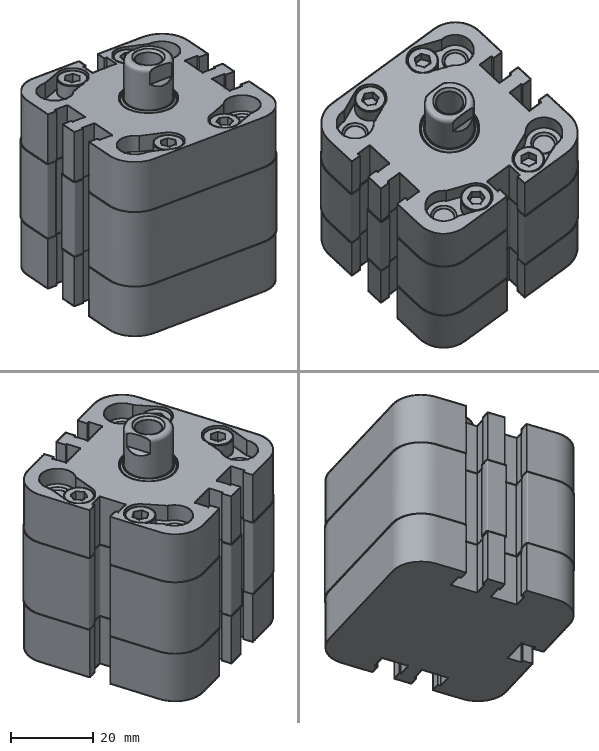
import cadquery as cq
import math

CAP_HEIGHT = 14.05
BARREL_HEIGHT = 20.95
TOTAL_HEIGHT = 60.5
BARREL_BOTTOM = CAP_HEIGHT
BARREL_TOP = BARREL_BOTTOM + BARREL_HEIGHT
BODY_TOP = BARREL_TOP + CAP_HEIGHT

BARREL_SIDE = 49.0
CAP_SIDE = 48.65
CORNER_CENTER = 16.6

SLOT_LIP_INNER = 21.65
CAP_SLOT_FLOOR = 17.85
BARREL_SLOT_FLOOR = 18.0
SLOT_EDGE_RADIUS = 0.25
CAP_NECK = (2.35, 8.3)
CAP_POCKET = (1.9, 9.1)
BARREL_NECK = (2.65, 8.35)
BARREL_POCKET = (1.9, 8.8)
CAP_SIDE_NECK = 5.7
CAP_SIDE_POCKET = 7.2
BARREL_SIDE_NECK = 5.7
BARREL_SIDE_POCKET = 7.2
SIDE_FLOOR_RADIUS = 0.35

RECESS_SPACING = 32.5
RECESS_OFFSET = RECESS_SPACING / 2
RECESS_MOUTH_DIAMETER = 6.3
RECESS_FLOOR_DIAMETER = 5.2
RECESS_POCKET_DIAMETER = 9.0
SCREW_POCKET_DIAMETER = 8.0
SCREW_X = 19.4
SCREW_Y = 8.55
POCKET_DEPTH = 4.5
HEAD_DIAMETER = 7.5
HEAD_HEIGHT = 4.0
HEAD_CHAMFER = 0.2
HEX_ACROSS_FLATS = 3.55
HEX_DEPTH = 2.4
HEX_TURN = {(-1, -1): -10, (-1, 1): 20, (1, -1): 0, (1, 1): 30}

ROD_DIAMETER = 12.0
ROD_EDGE_RADIUS = 1.1
FLAT_WIDTH = 10.0
FLAT_LENGTH = 4.25
BORE_DIAMETER = 6.65
BORE_MOUTH_DIAMETER = 8.0
BORE_MOUTH_DEPTH = (BORE_MOUTH_DIAMETER - BORE_DIAMETER) / 2
BORE_DEPTH = 12.1
BORE_END_DIAMETER = 4.9
BORE_END_ANGLE = 60.0

GROOVE_MOUTH_DIAMETER = 14.5
GROOVE_OUTER_DIAMETER = 14.0
WIPER_DIAMETER = 13.7
WIPER_TOP_DIAMETER = 12.5
GROOVE_DEPTH = (WIPER_DIAMETER - WIPER_TOP_DIAMETER) / 2
GROOVE_CHAMFER = (GROOVE_MOUTH_DIAMETER - GROOVE_OUTER_DIAMETER) / 2


def cylinder(x, y, bottom, diameter, height):
    return cq.Workplane("XY", origin=(x, y, bottom)).circle(diameter / 2).extrude(height)


def cone(x, y, bottom, bottom_diameter, top_diameter, height):
    solid = cq.Solid.makeCone(bottom_diameter / 2, top_diameter / 2, height, cq.Vector(x, y, bottom))
    return cq.Workplane(obj=solid)


def block(x_range, y_range, bottom, height):
    """Box between two X values and two Y values."""
    (x0, x1), (y0, y1) = x_range, y_range
    center = ((x0 + x1) / 2, (y0 + y1) / 2, bottom)
    return cq.Workplane("XY", origin=center).rect(abs(x1 - x0), abs(y1 - y0)).extrude(height)


def slotted_block(side, bottom, height, floor, neck, pocket, side_neck, side_pocket):
    """Rounded square block with two T-slots on each Y face and one on the -X face."""
    body = (
        cq.Workplane("XY", origin=(0, 0, bottom))
        .rect(side, side)
        .extrude(height)
        .edges("|Z")
        .fillet(side / 2 - CORNER_CENTER)
    )
    for sx in (-1, 1):
        for sy in (-1, 1):
            neck_x = (sx * neck[0], sx * neck[1])
            pocket_x = (sx * pocket[0], sx * pocket[1])
            body = body.cut(block(neck_x, (sy * SLOT_LIP_INNER, sy * side), bottom, height))
            body = body.cut(block(pocket_x, (sy * floor, sy * SLOT_LIP_INNER), bottom, height))
    neck_y = (-side_neck / 2, side_neck / 2)
    pocket_y = (-side_pocket / 2, side_pocket / 2)
    body = body.cut(block((-side, -SLOT_LIP_INNER), neck_y, bottom, height))
    return body.cut(block((-SLOT_LIP_INNER, -floor), pocket_y, bottom, height))


def make_cap(bottom):
    return slotted_block(
        CAP_SIDE, bottom, CAP_HEIGHT, CAP_SLOT_FLOOR,
        CAP_NECK, CAP_POCKET, CAP_SIDE_NECK, CAP_SIDE_POCKET,
    )


def is_lip_edge(edge):
    """True for the upright edges where a barrel slot neck meets the air or the wider pocket."""
    center = edge.Center()
    across, outward = sorted((abs(center.x), abs(center.y)))
    on_neck = any(math.isclose(across, side) for side in (*BARREL_NECK, BARREL_SIDE_NECK / 2))
    return on_neck and outward > SLOT_LIP_INNER - SLOT_EDGE_RADIUS


def is_side_floor_corner(edge):
    """True for the two upright corners at the floor of the barrel's -X slot."""
    center = edge.Center()
    on_floor = math.isclose(center.x, -BARREL_SLOT_FLOOR)
    return on_floor and math.isclose(abs(center.y), BARREL_SIDE_POCKET / 2)


def make_barrel():
    barrel = slotted_block(
        BARREL_SIDE, BARREL_BOTTOM, BARREL_HEIGHT, BARREL_SLOT_FLOOR,
        BARREL_NECK, BARREL_POCKET, BARREL_SIDE_NECK, BARREL_SIDE_POCKET,
    )
    barrel = barrel.edges("|Z").filter(is_lip_edge).fillet(SLOT_EDGE_RADIUS)
    return barrel.edges("|Z").filter(is_side_floor_corner).fillet(SIDE_FLOOR_RADIUS)


def corner_pocket(sx, sy):
    """Pocket from the recess to the screw, with the 45-degree countersunk recess in its floor."""
    floor = BODY_TOP - POCKET_DEPTH
    recess_x, recess_y = sx * RECESS_OFFSET, sy * RECESS_OFFSET
    screw_x, screw_y = sx * SCREW_X, sy * SCREW_Y
    dx, dy = recess_x - screw_x, recess_y - screw_y
    link = (
        cq.Workplane("XY", origin=((recess_x + screw_x) / 2, (recess_y + screw_y) / 2, floor))
        .transformed(rotate=(0, 0, math.degrees(math.atan2(dy, dx))))
        .slot2D(math.hypot(dx, dy) + SCREW_POCKET_DIAMETER, SCREW_POCKET_DIAMETER)
        .extrude(POCKET_DEPTH)
    )
    recess_depth = (RECESS_MOUTH_DIAMETER - RECESS_FLOOR_DIAMETER) / 2
    recess = cone(
        recess_x, recess_y, floor - recess_depth, RECESS_FLOOR_DIAMETER, RECESS_MOUTH_DIAMETER, recess_depth
    )
    return (
        link
        .union(cylinder(recess_x, recess_y, floor, RECESS_POCKET_DIAMETER, POCKET_DEPTH))
        .union(recess)
    )


def screw_head(sx, sy):
    """Round head with a hexagon socket, standing on the pocket floor."""
    floor = BODY_TOP - POCKET_DEPTH
    x, y = sx * SCREW_X, sy * SCREW_Y
    socket = (
        cq.Workplane("XY", origin=(x, y, floor + HEAD_HEIGHT - HEX_DEPTH))
        .polygon(6, HEX_ACROSS_FLATS, circumscribed=True)
        .extrude(HEX_DEPTH)
        .rotate((x, y, 0), (x, y, 1), HEX_TURN[(sx, sy)])
    )
    head = cylinder(x, y, floor, HEAD_DIAMETER, HEAD_HEIGHT).faces(">Z").chamfer(HEAD_CHAMFER)
    return head.cut(socket)


def wiper_groove():
    """Ring groove with a chamfered mouth, leaving a tapered wiper lip around the rod."""
    floor = BODY_TOP - GROOVE_DEPTH
    chamfer_bottom = BODY_TOP - GROOVE_CHAMFER
    mouth = cone(0, 0, chamfer_bottom, GROOVE_OUTER_DIAMETER, GROOVE_MOUTH_DIAMETER, GROOVE_CHAMFER)
    lip = cone(0, 0, floor, WIPER_DIAMETER, WIPER_TOP_DIAMETER, GROOVE_DEPTH)
    return cylinder(0, 0, floor, GROOVE_OUTER_DIAMETER, GROOVE_DEPTH).union(mouth).cut(lip)


def make_top_cap():
    cap = make_cap(BARREL_TOP)
    for sx in (-1, 1):
        for sy in (-1, 1):
            cap = cap.cut(corner_pocket(sx, sy)).union(screw_head(sx, sy))
    cap = cap.cut(cylinder(0, 0, BARREL_TOP, ROD_DIAMETER, CAP_HEIGHT))
    return cap.cut(wiper_groove())


def rod_bore():
    """Threaded-hole core: countersunk mouth, straight bore, tapered end."""
    taper = (BORE_DIAMETER - BORE_END_DIAMETER) / 2 / math.tan(math.radians(BORE_END_ANGLE))
    bore_end = TOTAL_HEIGHT - BORE_DEPTH
    mouth_bottom = TOTAL_HEIGHT - BORE_MOUTH_DEPTH
    return (
        cylinder(0, 0, bore_end, BORE_DIAMETER, BORE_DEPTH)
        .union(cone(0, 0, bore_end - taper, BORE_END_DIAMETER, BORE_DIAMETER, taper))
        .union(cone(0, 0, mouth_bottom, BORE_DIAMETER, BORE_MOUTH_DIAMETER, BORE_MOUTH_DEPTH))
    )


def wrench_flat():
    """Material removed for the +X flat, its lower end sloping out at 45 degrees."""
    inner = FLAT_WIDTH / 2
    outer = ROD_DIAMETER
    bottom = TOTAL_HEIGHT - FLAT_LENGTH
    slope = outer - inner
    profile = [(inner, TOTAL_HEIGHT), (inner, bottom), (outer, bottom - slope), (outer, TOTAL_HEIGHT)]
    return cq.Workplane("XZ").polyline(profile).close().extrude(ROD_DIAMETER / 2, both=True)


def make_rod():
    rod = cylinder(0, 0, BARREL_TOP, ROD_DIAMETER, TOTAL_HEIGHT - BARREL_TOP)
    rod = rod.faces(">Z").edges().fillet(ROD_EDGE_RADIUS)
    flat = wrench_flat()
    return rod.cut(flat).cut(flat.mirror("YZ")).cut(rod_bore())


bottom_cap = make_cap(0)
barrel = make_barrel()
top_cap = make_top_cap()
rod = make_rod()

result = cq.Compound.makeCompound([bottom_cap.val(), barrel.val(), top_cap.val(), rod.val()])